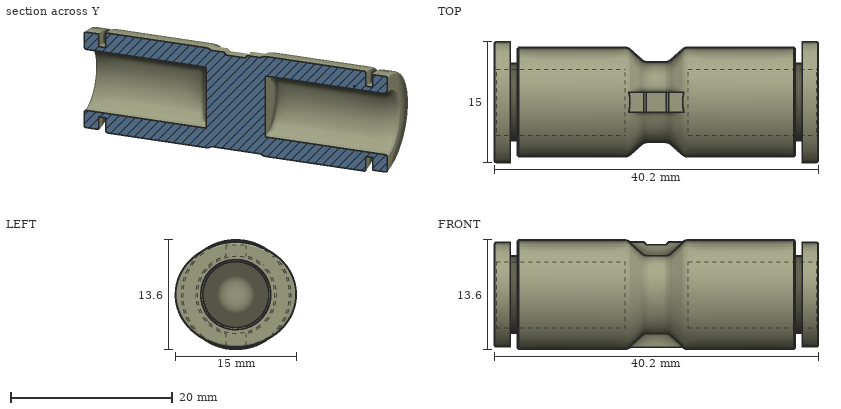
import math

import cadquery as cq


overall_length = 40.2
body_length = 34.5
body_diameter = 13.6
body_end_chamfer = 0.2

waist_diameter = 10.0
waist_flat_half_length = 1.53
waist_cone_half_length = 3.55
waist_blend_radius = 1.0

collar_width = 15.0
collar_height = 13.0
collar_thickness = 2.0
collar_edge_radius = 0.3
stem_diameter = 9.6

socket_diameter = 8.2
socket_mouth_chamfer = 0.25

rib_width = 2.5
rib_height = 6.55
notch_floor_height = 6.2
notch_floor_half_length = 1.24
notch_mouth_half_length = 1.53

half_length = overall_length / 2
half_body = body_length / 2
body_radius = body_diameter / 2
waist_radius = waist_diameter / 2
stem_length = half_length - collar_thickness - half_body
cone_angle = math.atan2(body_radius - waist_radius, waist_cone_half_length - waist_flat_half_length)
blend_tangent_length = waist_blend_radius * math.tan(cone_angle / 2)
waist_half_length = waist_cone_half_length + blend_tangent_length
socket_depth = half_length - waist_half_length


def make_body():
    """Turned body with chamfered ends and a smoothly blended conical waist."""
    profile = (
        cq.Workplane("XY")
        .moveTo(-half_body, 0)
        .lineTo(-half_body, body_radius)
        .lineTo(-waist_cone_half_length, body_radius)
        .lineTo(-waist_flat_half_length, waist_radius)
        .lineTo(waist_flat_half_length, waist_radius)
        .lineTo(waist_cone_half_length, body_radius)
        .lineTo(half_body, body_radius)
        .lineTo(half_body, 0)
        .close()
    )
    body = profile.revolve(360, (0, 0, 0), (1, 0, 0))
    body = body.faces("<X or >X").edges().chamfer(body_end_chamfer)
    waist_zone = cq.selectors.BoxSelector(
        (-waist_half_length, -body_diameter, -body_diameter),
        (waist_half_length, body_diameter, body_diameter),
    )
    return body.edges(waist_zone).edges("%CIRCLE").fillet(waist_blend_radius)


def make_ribs():
    """Flat rib above and below the waist, the upper one notched in the middle."""
    ribs = cq.Workplane("XY").box(2 * waist_half_length, rib_width, 2 * rib_height)
    notch = (
        cq.Workplane("XZ")
        .moveTo(-notch_floor_half_length, notch_floor_height)
        .lineTo(notch_floor_half_length, notch_floor_height)
        .lineTo(notch_mouth_half_length, rib_height)
        .lineTo(-notch_mouth_half_length, rib_height)
        .close()
        .extrude(rib_width / 2, both=True)
    )
    return ribs.cut(notch)


def make_release_collar():
    """Oval collar and its round stem on the +X end."""
    stem = cq.Workplane("YZ").workplane(offset=half_body).circle(stem_diameter / 2).extrude(stem_length)
    collar = (
        cq.Workplane("YZ")
        .workplane(offset=half_length - collar_thickness)
        .ellipse(collar_width / 2, collar_height / 2)
        .extrude(collar_thickness)
        .faces(">X")
        .edges()
        .fillet(collar_edge_radius)
    )
    return stem.union(collar)


def make_socket():
    """Cutter for the blind socket, with a chamfered mouth, on the +X end."""
    bottom = half_length - socket_depth
    socket_radius = socket_diameter / 2
    profile = (
        cq.Workplane("XY")
        .moveTo(bottom, 0)
        .lineTo(bottom, socket_radius)
        .lineTo(half_length - socket_mouth_chamfer, socket_radius)
        .lineTo(half_length, socket_radius + socket_mouth_chamfer)
        .lineTo(half_length, 0)
        .close()
    )
    return profile.revolve(360, (0, 0, 0), (1, 0, 0))


def on_both_ends(feature):
    """The +X end feature together with its mirror image on the -X end."""
    return feature.union(feature.mirror("YZ"))


result = make_body().union(make_ribs())
result = result.union(on_both_ends(make_release_collar()))
result = result.cut(on_both_ends(make_socket()))